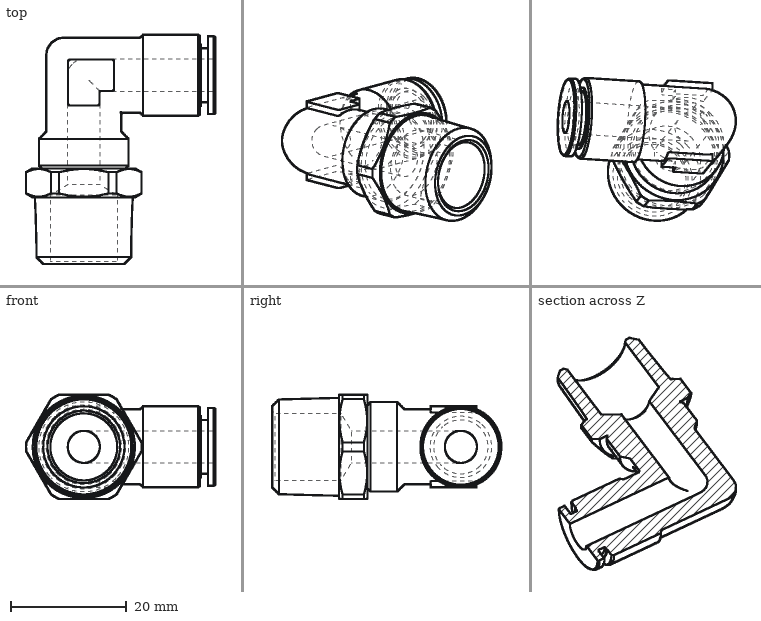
import cadquery as cq
import math


tube_radius = 6.5
tube_length = 7.92
outer_bend_radius = 3.0
inner_bend_radius = 0.28
shoulder_blend_radius = 0.4
shoulder_angle = math.radians(45)

sleeve_radius = 7.0
sleeve_start = 10.25
sleeve_end = 20.08
sleeve_chamfer_length = 0.4
sleeve_chamfer_depth = 0.25
lip_radius = 5.3
lip_length = 0.1
neck_radius = 4.67
flange_radius = 6.75
flange_start = 21.42
flange_chamfer_length = 0.3
flange_chamfer_depth = 0.2
socket_end = 22.75

collar_radius = 7.75
collar_start = 11.0
collar_chamfer = 0.5
hex_start = 16.08
hex_length = 5.0
hex_across_flats = 18.0
hex_corner_radius = 9.98
hex_chamfer_radius = 8.85
hex_chamfer_angle = 30
thread_large_radius = 8.47
thread_small_radius = 8.2
thread_chamfer = 1.2
stem_end = 32.6

passage_radius = 2.77
stem_bore_radius = 5.8
stem_bore_depth = 11.88
stem_bore_cone_angle = 59
mouth_chamfer = 0.48

pad_inset = 2.7
pad_reach = 5.23
pad_half_height = 7.0
pad_corner_radius = 0.3

hex_end = hex_start + hex_length

stem_plane = cq.Plane(origin=(0, 0, 0), xDir=(0, -1, 0), normal=(-1, 0, 0))
socket_plane = cq.Plane(origin=(0, 0, 0), xDir=(1, 0, 0), normal=(0, -1, 0))


def turn(outline):
    """Close an outline and turn it about the local x axis of its plane."""
    return outline.close().revolve(360, (0, 0), (1, 0))


def shoulder_outline(plane, cone_radius, cone_end):
    """Start an outline: a tube blended into a cone that ends at (cone_end, cone_radius)."""
    cone_start = cone_end - (cone_radius - tube_radius) / math.tan(shoulder_angle)
    tangent_length = shoulder_blend_radius * math.tan(shoulder_angle / 2)
    blend_end = (
        cone_start + tangent_length * math.cos(shoulder_angle),
        tube_radius + tangent_length * math.sin(shoulder_angle),
    )
    return (
        cq.Workplane(plane)
        .moveTo(tube_length, 0)
        .lineTo(tube_length, tube_radius)
        .lineTo(cone_start - tangent_length, tube_radius)
        .radiusArc(blend_end, -shoulder_blend_radius)
        .lineTo(cone_end, cone_radius)
    )


def mitred_tube(plane, mitre_side):
    """Tube along the local x axis, kept on one side of the mitre plane x = -y."""
    overshoot = 2 * tube_radius
    tube = turn(
        cq.Workplane(plane)
        .moveTo(-overshoot, 0)
        .lineTo(-overshoot, tube_radius)
        .lineTo(tube_length, tube_radius)
        .lineTo(tube_length, 0)
    )
    half_space = (
        cq.Workplane("XY")
        .polyline([
            (-overshoot, overshoot),
            (overshoot, -overshoot),
            (mitre_side * overshoot, mitre_side * overshoot),
        ])
        .close()
        .extrude(overshoot, both=True)
    )
    return tube.intersect(half_space)


def corner_pads():
    """L-shaped pads standing proud above and below the elbow, joined through it."""
    return (
        cq.Workplane("XY")
        .polyline([
            (-pad_inset, pad_inset),
            (pad_reach, pad_inset),
            (pad_reach, -pad_inset),
            (pad_inset, -pad_inset),
            (pad_inset, -pad_reach),
            (-pad_inset, -pad_reach),
        ])
        .close()
        .extrude(pad_half_height, both=True)
        .edges("|Z")
        .fillet(pad_corner_radius)
    )


def crease(body, corner):
    """Mitre crease that passes through the given point of the XY plane."""
    return body.edges(cq.selectors.NearestToPointSelector(corner))


def elbow():
    """Mitred tubes with pads; the creases are rounded where they run between the pads."""
    body = mitred_tube(stem_plane, -1).union(mitred_tube(socket_plane, 1)).union(corner_pads())
    body = crease(body, (-tube_radius, tube_radius, 0)).fillet(outer_bend_radius)
    return crease(body, (tube_radius, -tube_radius, 0)).fillet(inner_bend_radius)


def socket():
    """Sleeve, low lip, neck and release flange."""
    lip_end = sleeve_end + lip_length
    return turn(
        shoulder_outline(socket_plane, sleeve_radius, sleeve_start)
        .lineTo(sleeve_end - sleeve_chamfer_length, sleeve_radius)
        .lineTo(sleeve_end, sleeve_radius - sleeve_chamfer_depth)
        .lineTo(sleeve_end, lip_radius)
        .lineTo(lip_end, lip_radius)
        .lineTo(lip_end, neck_radius)
        .lineTo(flange_start, neck_radius)
        .lineTo(flange_start, flange_radius)
        .lineTo(socket_end - flange_chamfer_length, flange_radius)
        .lineTo(socket_end, flange_radius - flange_chamfer_depth)
        .lineTo(socket_end, 0)
    )


def collar():
    """Collar that seats on the hexagon."""
    return turn(
        shoulder_outline(stem_plane, collar_radius, collar_start)
        .lineTo(hex_start - collar_chamfer, collar_radius)
        .lineTo(hex_start, collar_radius - collar_chamfer)
        .lineTo(hex_start, 0)
    )


def hexagon():
    """Hexagon with corners on X, trimmed to a round and chamfered at both ends."""
    across_corners = hex_across_flats / math.cos(math.radians(30))
    prism = (
        cq.Workplane("XZ", origin=(0, -hex_start, 0))
        .polygon(6, across_corners)
        .extrude(hex_length)
    )
    chamfer_length = (hex_corner_radius - hex_chamfer_radius) * math.tan(math.radians(hex_chamfer_angle))
    trimming_round = turn(
        cq.Workplane(stem_plane)
        .moveTo(hex_start, 0)
        .lineTo(hex_start, hex_chamfer_radius)
        .lineTo(hex_start + chamfer_length, hex_corner_radius)
        .lineTo(hex_end - chamfer_length, hex_corner_radius)
        .lineTo(hex_end, hex_chamfer_radius)
        .lineTo(hex_end, 0)
    )
    return prism.intersect(trimming_round)


def thread():
    """Plain tapered envelope of the pipe thread."""
    return turn(
        cq.Workplane(stem_plane)
        .moveTo(hex_end, 0)
        .lineTo(hex_end, thread_large_radius)
        .lineTo(stem_end - thread_chamfer, thread_small_radius)
        .lineTo(stem_end, thread_small_radius - thread_chamfer)
        .lineTo(stem_end, 0)
    )


def passages():
    """Stepped stem bore with a domed end, met at the elbow centre by the socket bore."""
    bore_bottom = stem_end - stem_bore_depth
    cone_length = (stem_bore_radius - passage_radius) / math.tan(math.radians(stem_bore_cone_angle))
    stem_bore = turn(
        cq.Workplane(stem_plane)
        .moveTo(-passage_radius, 0)
        .radiusArc((0, passage_radius), passage_radius)
        .lineTo(bore_bottom - cone_length, passage_radius)
        .lineTo(bore_bottom, stem_bore_radius)
        .lineTo(stem_end - mouth_chamfer, stem_bore_radius)
        .lineTo(stem_end, stem_bore_radius + mouth_chamfer)
        .lineTo(stem_end, 0)
    )
    socket_bore = cq.Workplane("YZ").circle(passage_radius).extrude(socket_end)
    return stem_bore.union(socket_bore)


outside = elbow().union(socket()).union(collar()).union(hexagon()).union(thread())
result = outside.cut(passages())